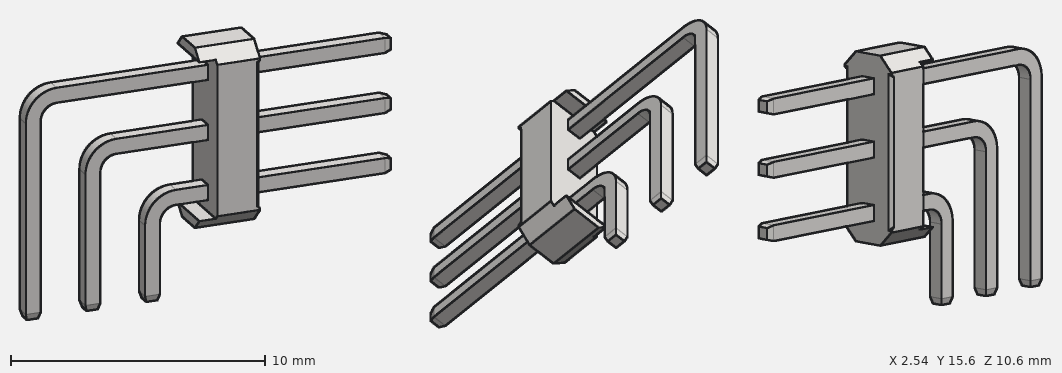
import cadquery as cq

pin_count = 3
pitch = 2.54
total_length = 15.58
body_width = pitch
body_height = pin_count * pitch

body_depth = 1.82
lip_length = 0.7
lip_height = 0.45
end_chamfer = 0.6

bevel_depth = 0.14
bevel_inset = 0.15
bevel_end_margin = 0.06

pin_size = 0.64
bend_radius = 1.0
rear_length = 6.0
tip_length = 0.28
tip_size = 0.47
tail_end_z = -6.81
longest_tail_y = rear_length - total_length + pin_size / 2


def make_body():
    """Block with chamfered ends and a lip projecting forward at the top and bottom."""
    full_depth = body_depth + lip_length
    block = (
        cq.Workplane("XY")
        .box(body_width, full_depth, body_height)
        .translate((0, -full_depth / 2, 0))
        .edges("|Y")
        .chamfer(end_chamfer)
    )
    relief = (
        cq.Workplane("XY")
        .box(body_width, lip_length, body_height - 2 * lip_height)
        .translate((0, -body_depth - lip_length / 2, 0))
    )
    return block.cut(relief)


def make_side_bevel(side):
    """Wedge with 45-degree ends along the rear edge of one side; side is -1 or 1 along X."""
    side_x = side * body_width / 2
    half_height = body_height / 2 - end_chamfer - bevel_end_margin
    wedge = (
        cq.Workplane("XY")
        .workplane(offset=-half_height)
        .moveTo(side_x, 0)
        .lineTo(side_x, -bevel_depth)
        .lineTo(side_x - side * bevel_inset, 0)
        .close()
        .extrude(2 * half_height)
    )
    sloped_ends = (
        cq.Workplane("YZ")
        .moveTo(0, -half_height)
        .lineTo(0, half_height)
        .lineTo(-bevel_depth, half_height - bevel_depth)
        .lineTo(-bevel_depth, -half_height + bevel_depth)
        .close()
        .extrude(body_width, both=True)
    )
    return wedge.intersect(sloped_ends)


def make_tip(workplane):
    """Tapered pin end growing outward from the given plane."""
    return (
        workplane.rect(pin_size, pin_size)
        .workplane(offset=tip_length)
        .rect(tip_size, tip_size)
        .loft(ruled=True)
    )


def make_pin(pin_z, tail_y):
    """Right-angle pin running along Y at pin_z, then down at tail_y."""
    rear_y = rear_length - tip_length
    tail_z = tail_end_z + tip_length
    path = (
        cq.Workplane("YZ")
        .moveTo(rear_y, pin_z)
        .lineTo(tail_y + bend_radius, pin_z)
        .radiusArc((tail_y, pin_z - bend_radius), -bend_radius)
        .lineTo(tail_y, tail_z)
    )
    rear_plane = cq.Plane(origin=(0, rear_y, pin_z), xDir=(1, 0, 0), normal=(0, 1, 0))
    tail_plane = cq.Plane(origin=(0, tail_y, tail_z), xDir=(1, 0, 0), normal=(0, 0, -1))
    shank = cq.Workplane(rear_plane).rect(pin_size, pin_size).sweep(path)
    rear_tip = make_tip(cq.Workplane(rear_plane))
    tail_tip = make_tip(cq.Workplane(tail_plane))
    return shank.union(rear_tip).union(tail_tip)


result = make_body()
for side in (-1, 1):
    result = result.cut(make_side_bevel(side))

for index in range(pin_count):
    pin_z = ((pin_count - 1) / 2 - index) * pitch
    tail_y = longest_tail_y + index * pitch
    result = result.union(make_pin(pin_z, tail_y))